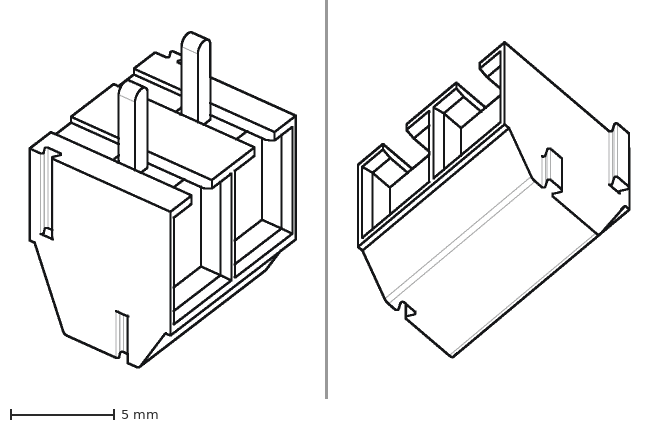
import cadquery as cq
import math

pole_count = 2
pitch = 5.0
body_width = 8.6
body_length = pole_count * pitch
body_height = 10.21
total_height = 14.5
overall_length = 10.6

lip_inset = 0.3
left_lip_z = 4.7
right_lip_z = 2.8
left_taper_angle = 21.0
right_taper_angle = 30.0
bottom_edge_radius = 0.3

slot_width = 1.6
slot_depth = 0.35
recess_depth = 0.71
recess_x = 3.5

pocket_depth = 1.7
lead_in_depth = 0.51
lead_in_flare = 0.2
pocket_wall = 0.29
mouth_length = (body_length - (pole_count + 1) * pocket_wall) / pole_count
pocket_roof_z = body_height - recess_depth
pocket_floor_z = right_lip_z + recess_depth

pin_size = 1.0
pin_x = 4.41

dovetail_height = overall_length - body_length
dovetail_root_width = 0.4
dovetail_angle = 60.0
dovetail_radius = 0.1
upper_dovetail_x = 1.05
upper_dovetail_length = 4.81
lower_dovetail_x = 5.65
lower_dovetail_length = right_lip_z

pole_positions = [(index + 0.5) * pitch for index in range(pole_count)]
pocket_positions = [pocket_wall + mouth_length / 2 + index * (mouth_length + pocket_wall)
                    for index in range(pole_count)]


def box(x_range, y_range, z_range):
    """Axis-aligned box between the given limits."""
    sizes = [high - low for low, high in (x_range, y_range, z_range)]
    corner = (x_range[0], y_range[0], z_range[0])
    return cq.Workplane("XY").box(*sizes, centered=False).translate(corner)


def housing():
    """Housing profile extruded along the row of pins, with rounded bottom edges."""
    bottom_left_x = lip_inset + left_lip_z * math.tan(math.radians(left_taper_angle))
    bottom_right_x = body_width - lip_inset - right_lip_z * math.tan(math.radians(right_taper_angle))
    profile = [
        (0, body_height),
        (0, left_lip_z),
        (lip_inset, left_lip_z),
        (bottom_left_x, 0),
        (bottom_right_x, 0),
        (body_width - lip_inset, right_lip_z),
        (body_width, right_lip_z),
        (body_width, body_height),
    ]
    block = cq.Workplane("XZ").polyline(profile).close().extrude(-body_length)
    return block.faces("<Z").edges("|Y").fillet(bottom_edge_radius)


def pin_slot(y):
    """Shallow slot across the top, stepping down to a deeper recess around the pin."""
    y_range = (y - slot_width / 2, y + slot_width / 2)
    shallow = box((0, body_width), y_range, (body_height - slot_depth, body_height))
    recess = box((recess_x, body_width), y_range, (body_height - recess_depth, body_height))
    return shallow.union(recess)


def plug_pocket(y):
    """Rectangular pocket entering from the +X face, flared at its mouth."""
    throat_x = body_width - lead_in_depth
    throat_length = mouth_length - 2 * lead_in_flare
    throat_height = pocket_roof_z - pocket_floor_z
    throat = box(
        (body_width - pocket_depth, throat_x),
        (y - throat_length / 2, y + throat_length / 2),
        (pocket_floor_z, pocket_roof_z),
    )
    lead_in = (
        cq.Workplane("YZ", origin=(throat_x, y, (pocket_floor_z + pocket_roof_z) / 2))
        .rect(throat_length, throat_height)
        .workplane(offset=lead_in_depth)
        .rect(throat_length + 2 * lead_in_flare, throat_height + 2 * lead_in_flare)
        .loft()
    )
    return throat.union(lead_in)


def pin(y):
    """Square pin standing on the recess floor, its tip rounded about the X axis."""
    pin_radius = pin_size / 2
    shoulder_z = total_height - pin_radius
    return (
        cq.Workplane("YZ", origin=(pin_x - pin_radius, y, 0))
        .moveTo(-pin_radius, body_height - recess_depth)
        .lineTo(-pin_radius, shoulder_z)
        .threePointArc((0, total_height), (pin_radius, shoulder_z))
        .lineTo(pin_radius, body_height - recess_depth)
        .close()
        .extrude(pin_size)
    )


def dovetail(x, y, z, length):
    """Dovetail bar rooted at y, rising from z, with every corner of its section rounded.

    The root corners flare out into the wall by the tangent length of their rounding.
    """
    slope = math.radians(dovetail_angle)
    root_half = dovetail_root_width / 2
    tip_half = root_half + dovetail_height / math.tan(slope)
    tangent = dovetail_radius / math.tan(slope / 2)
    along_x = tangent * math.cos(slope)
    along_y = tangent * math.sin(slope)
    bisector = dovetail_radius / math.sin(slope / 2) - dovetail_radius
    mid_x = bisector * math.cos(slope / 2)
    mid_y = bisector * math.sin(slope / 2)
    tip_y = dovetail_height
    return (
        cq.Workplane("XY", origin=(x, y, z))
        .moveTo(-root_half - tangent, 0)
        .threePointArc((-root_half - mid_x, mid_y), (-root_half - along_x, along_y))
        .lineTo(-tip_half + along_x, tip_y - along_y)
        .threePointArc((-tip_half + mid_x, tip_y - mid_y), (-tip_half + tangent, tip_y))
        .lineTo(tip_half - tangent, tip_y)
        .threePointArc((tip_half - mid_x, tip_y - mid_y), (tip_half - along_x, tip_y - along_y))
        .lineTo(root_half + along_x, along_y)
        .threePointArc((root_half + mid_x, mid_y), (root_half + tangent, 0))
        .close()
        .extrude(length)
    )


def dovetail_pair(y):
    """Upper dovetail hanging from the top face and lower one rising from the bottom."""
    upper = dovetail(upper_dovetail_x, y, body_height - upper_dovetail_length, upper_dovetail_length)
    lower = dovetail(lower_dovetail_x, y, 0, lower_dovetail_length)
    return upper.union(lower)


result = housing()
for pocket_y in pocket_positions:
    result = result.cut(plug_pocket(pocket_y))
for pole_y in pole_positions:
    result = result.cut(pin_slot(pole_y)).union(pin(pole_y))
result = result.cut(dovetail_pair(0)).union(dovetail_pair(body_length))